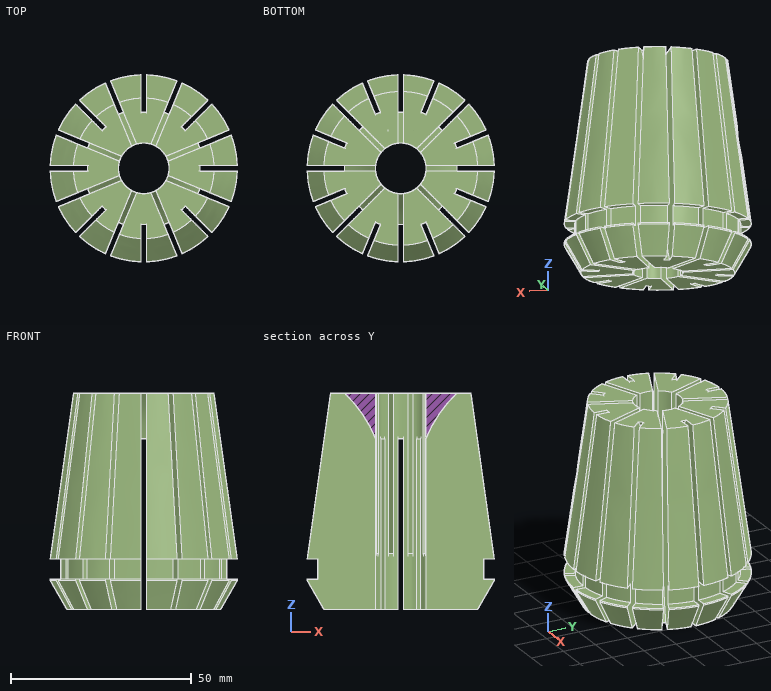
import cadquery as cq
import math

length = 60.0
max_radius = 26.0
bore_diameter = 14.0
bore_radius = bore_diameter / 2

nose_angle = 30.0
nose_height = 8.05
rim_height = 0.4
groove_top = 14.0
groove_radius = 23.05
rim_top = nose_height + rim_height
nose_radius = max_radius - nose_height * math.tan(math.radians(nose_angle))

taper_angle = 8.0
top_radius = max_radius - (length - groove_top) * math.tan(math.radians(taper_angle))

slots_per_end = 8
slot_pitch = 360.0 / slots_per_end
slot_width = 1.5
saw_radius = 36.0

bottom_slot_rise = 12.65
bottom_slot_end_radius = 15.6
top_slot_rise = 15.5
top_slot_end_radius = 16.55


def make_body():
    """Revolve the half section of the collet without its slots."""
    half_section = (
        cq.Workplane("XZ")
        .moveTo(bore_radius, 0)
        .lineTo(nose_radius, 0)
        .lineTo(max_radius, nose_height)
        .lineTo(max_radius, rim_top)
        .lineTo(groove_radius, rim_top)
        .lineTo(groove_radius, groove_top)
        .lineTo(max_radius, groove_top)
        .lineTo(top_radius, length)
        .lineTo(bore_radius, length)
        .close()
    )
    return half_section.revolve(360, (0, 0), (0, 1))


def make_slot_cutter(rise, end_radius):
    """Blade along +X, open at the bottom, with its arc running out at the top face."""
    bore_height = length - rise
    return (
        cq.Workplane("XZ")
        .moveTo(0, 0)
        .lineTo(0, bore_height)
        .lineTo(bore_radius, bore_height)
        .radiusArc((end_radius, length), saw_radius)
        .lineTo(max_radius, length)
        .lineTo(max_radius, 0)
        .close()
        .extrude(slot_width / 2, both=True)
    )


def turn_end_for_end(cutter):
    """Flip a cutter so that it is open at the top instead of the bottom."""
    mid_height = length / 2
    return cutter.rotate((0, 0, mid_height), (1, 0, mid_height), 180)


bottom_cutter = make_slot_cutter(bottom_slot_rise, bottom_slot_end_radius)
top_cutter = turn_end_for_end(make_slot_cutter(top_slot_rise, top_slot_end_radius))

result = make_body()
for index in range(slots_per_end):
    bottom_angle = index * slot_pitch
    top_angle = bottom_angle + slot_pitch / 2
    result = result.cut(bottom_cutter.rotate((0, 0, 0), (0, 0, 1), bottom_angle))
    result = result.cut(top_cutter.rotate((0, 0, 0), (0, 0, 1), top_angle))